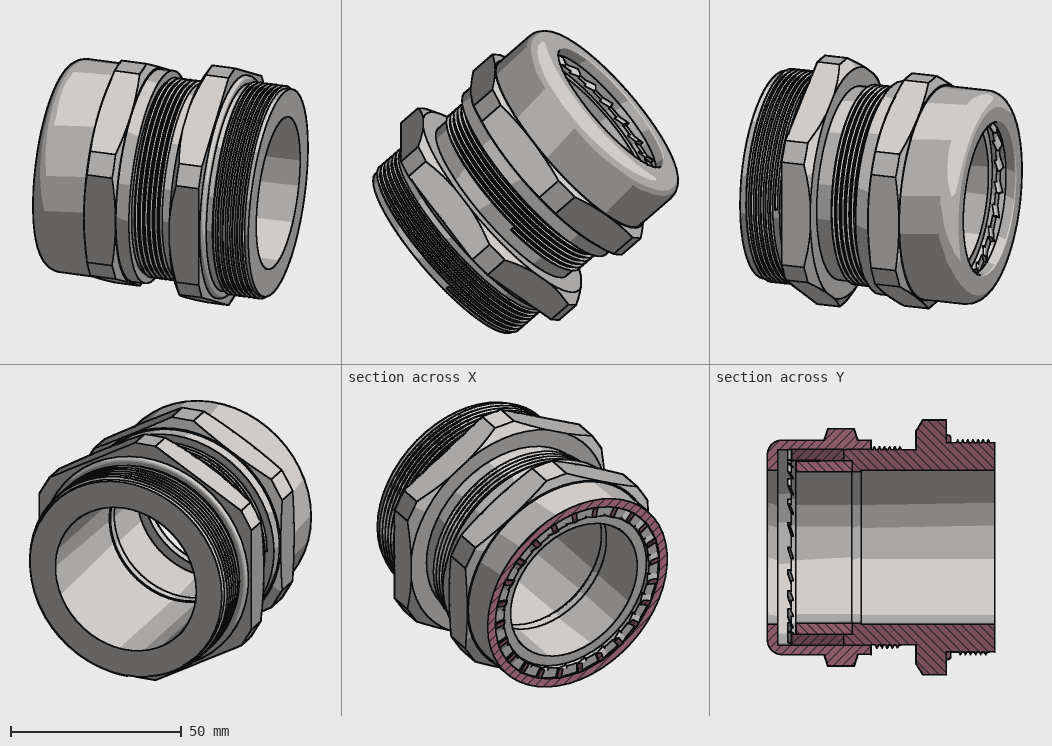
import cadquery as cq
import math


CAP_DIA = 63.1
CAP_FRONT_FILLET = 4.5
CAP_LIP_BORE = 45.1
CAP_LIP_THICKNESS = 3.15
CAP_LIP_FILLET = 0.4
CAP_COLLAR_DIA = 63.0
CAP_END = 30.5

CAP_HEX_START = 16.8
CAP_HEX_END = 26.5
CAP_HEX_FLATS = 63.8
CAP_HEX_CORNERS = 69.6
CAP_HEX_CHAMFER_LENGTH = 1.0
CAP_HEX_FACE_DIA = 63.8

CONE_OVERRUN = 1.5

BODY_START = 22.4
BODY_END = 66.8
BODY_BORE = 44.4
BODY_REAR_BORE = 45.1
BODY_BORE_STEP = 27.6
SHANK_DIA = 57.3
NECK_DIA = 61.5

FLANGE_START = 43.6
FLANGE_END = 52.6
FLANGE_FLATS = 68.0
FLANGE_CORNERS = 74.7
FLANGE_CHAMFER_LENGTH = 1.95
FLANGE_FACE_DIA = 68.4

THREAD_PITCH = 1.5
THREAD_FLANK_ANGLE = 30.0
THREAD_ROOT_OVERLAP = 0.1
SHANK_THREAD_DIA = 59.1
SHANK_THREAD_START = 31.1
SHANK_THREAD_TURNS = 5.75
NECK_THREAD_DIA = 63.0
NECK_THREAD_START = 55.5
NECK_THREAD_TURNS = 6.75

CAGE_BORE = 50.8
CAGE_FRONT = 7.1
FINGER_COUNT = 24
FINGER_ROOT = 8.6
FINGER_TIP = 6.05
FINGER_FILLET = 0.6

SEAL_START = 8.45
SEAL_END = 24.9

GASKET_DIA = 66.1
GASKET_THICKNESS = 1.35
GASKET_FILLET = 1.05

LARGEST_CIRCLE = cq.selectors.RadiusNthSelector(-1)
SMALLEST_CIRCLE = cq.selectors.RadiusNthSelector(0)
HEX_HALF_TURN = 30


def cylinder(diameter, start, end):
    return cq.Workplane("YZ", origin=(start, 0, 0)).circle(diameter / 2).extrude(end - start)


def ring(outer_diameter, bore, start, end):
    return cylinder(outer_diameter, start, end).cut(cylinder(bore, start, end))


def hexagon(across_flats, start, end, turn):
    """Hexagonal prism along X with flats facing Y, turned about X by the given angle."""
    corner_dia = across_flats / math.cos(math.radians(HEX_HALF_TURN))
    prism = cq.Workplane("YZ", origin=(start, 0, 0)).polygon(6, corner_dia).extrude(end - start)
    return prism.rotate((0, 0, 0), (1, 0, 0), HEX_HALF_TURN + turn)


def blunt_hexagon(across_flats, across_corners, start, end):
    """Hexagon with flats facing Y, whose six corners are cut off by narrow flats."""
    flats = hexagon(across_flats, start, end, 0)
    return flats.intersect(hexagon(across_corners, start, end, HEX_HALF_TURN))


def ridge_thread(root_dia, crest_dia, start, turns):
    """Triangular ridge wound as a right-hand helix about X."""
    height = (crest_dia - root_dia) / 2
    half_base = (height + THREAD_ROOT_OVERLAP) * math.tan(math.radians(THREAD_FLANK_ANGLE))
    inner = root_dia / 2 - THREAD_ROOT_OVERLAP
    helix = cq.Wire.makeHelix(THREAD_PITCH, THREAD_PITCH * turns, root_dia / 2)
    ridge = (
        cq.Workplane("XZ")
        .polyline([(inner, -half_base), (crest_dia / 2, 0), (inner, half_base)])
        .close()
        .sweep(cq.Workplane(helix), isFrenet=True)
    )
    along_x = ridge.rotate((0, 0, 0), (0, 1, 0), 90).rotate((0, 0, 0), (1, 0, 0), 90)
    return along_x.translate((start, 0, 0))


def taper_cone(start, end, face_dia, corner_dia, length, both_ends):
    """Round bar whose start, or both ends, taper from face_dia to corner_dia over length."""
    face_radius = face_dia / 2
    wide_radius = face_radius + CONE_OVERRUN * (corner_dia - face_dia) / 2
    wide_length = CONE_OVERRUN * length
    points = [(start, 0), (start, face_radius), (start + wide_length, wide_radius)]
    if both_ends:
        points += [(end - wide_length, wide_radius), (end, face_radius)]
    else:
        points += [(end, wide_radius)]
    points += [(end, 0)]
    return cq.Workplane("XY").polyline(points).close().revolve(360, (0, 0, 0), (1, 0, 0))


def make_cap_nut():
    shell = ring(CAP_DIA, CAP_LIP_BORE, 0, CAP_HEX_END)
    shell = shell.faces("<X").edges(LARGEST_CIRCLE).fillet(CAP_FRONT_FILLET)
    shell = shell.faces("<X").edges(SMALLEST_CIRCLE).fillet(CAP_LIP_FILLET)

    cone = taper_cone(
        CAP_HEX_START, CAP_HEX_END, CAP_HEX_FACE_DIA, CAP_HEX_CORNERS, CAP_HEX_CHAMFER_LENGTH, True
    )
    nut = blunt_hexagon(CAP_HEX_FLATS, CAP_HEX_CORNERS, CAP_HEX_START, CAP_HEX_END).intersect(cone)

    collar = cylinder(CAP_COLLAR_DIA, CAP_HEX_END, CAP_END)
    cavity = cylinder(SHANK_DIA, CAP_LIP_THICKNESS, CAP_END)
    return shell.union(nut).union(collar).cut(cavity)


def make_body():
    shank = cylinder(SHANK_DIA, BODY_START, FLANGE_START)
    neck = cylinder(NECK_DIA, FLANGE_END, BODY_END)
    cone = taper_cone(
        FLANGE_START, FLANGE_END, FLANGE_FACE_DIA, FLANGE_CORNERS, FLANGE_CHAMFER_LENGTH, False
    )
    flange = blunt_hexagon(FLANGE_FLATS, FLANGE_CORNERS, FLANGE_START, FLANGE_END).intersect(cone)
    body = shank.union(flange).union(neck)

    body = body.cut(cylinder(CAGE_BORE, BODY_START, SEAL_END))
    body = body.cut(cylinder(BODY_BORE, SEAL_END, BODY_BORE_STEP))
    body = body.cut(cylinder(BODY_REAR_BORE, BODY_BORE_STEP, BODY_END))

    shank_thread = ridge_thread(SHANK_DIA, SHANK_THREAD_DIA, SHANK_THREAD_START, SHANK_THREAD_TURNS)
    neck_thread = ridge_thread(NECK_DIA, NECK_THREAD_DIA, NECK_THREAD_START, NECK_THREAD_TURNS)
    return body.union(shank_thread).union(neck_thread)


def make_finger(half_width):
    """Finger on the +Y side: its tip slopes up towards +Z and its inner edge is rounded."""
    finger = (
        cq.Workplane("XZ")
        .polyline(
            [
                (FINGER_ROOT, -half_width),
                (CAGE_FRONT, -half_width),
                (FINGER_TIP, half_width),
                (FINGER_ROOT, half_width),
            ]
        )
        .close()
        .extrude(-SHANK_DIA / 2)
    )
    finger = finger.intersect(ring(SHANK_DIA, CAGE_BORE, FINGER_TIP, FINGER_ROOT))
    return finger.faces("<X").edges("<Y").fillet(FINGER_FILLET)


def make_cage():
    pitch_angle = 360 / FINGER_COUNT
    finger_angle = pitch_angle / 2
    half_width = CAGE_BORE / 2 * math.radians(finger_angle / 2)
    finger = make_finger(half_width)
    pocket = cq.Workplane("XY").box(
        FINGER_ROOT - CAGE_FRONT, SHANK_DIA / 2, 2 * half_width, centered=(False, False, True)
    )
    pocket = pocket.translate((CAGE_FRONT, 0, 0))

    cage = ring(SHANK_DIA, CAGE_BORE, CAGE_FRONT, BODY_START)
    for index in range(FINGER_COUNT):
        angle = index * pitch_angle - finger_angle / 2
        cage = cage.cut(pocket.rotate((0, 0, 0), (1, 0, 0), angle))
        cage = cage.union(finger.rotate((0, 0, 0), (1, 0, 0), angle))
    return cage


def make_seal():
    return ring(CAGE_BORE, BODY_BORE, SEAL_START, SEAL_END)


def make_gasket():
    gasket = ring(GASKET_DIA, NECK_DIA, FLANGE_END, FLANGE_END + GASKET_THICKNESS)
    return gasket.faces(">X").edges(LARGEST_CIRCLE).fillet(GASKET_FILLET)


cap_nut = make_cap_nut()
body = make_body()
cage = make_cage()
seal = make_seal()
gasket = make_gasket()

result = cq.Compound.makeCompound([cap_nut.val(), body.val(), cage.val(), seal.val(), gasket.val()])